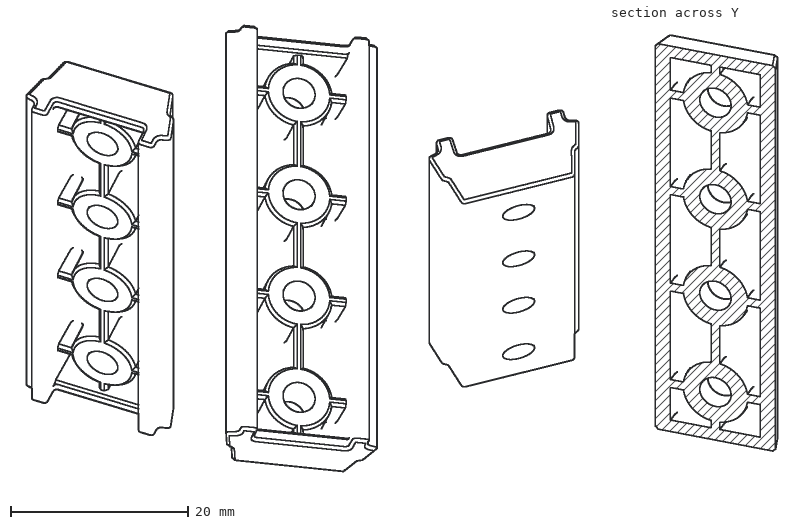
import cadquery as cq
import math

LENGTH = 50.8
WIDTH = 17.45
DEPTH = 8.4
END_CHAMFER = 0.35

FLANK_SLOPE = math.tan(math.radians(15))
BACK_HALF_WIDTH = 6.55
FLANK_OFFSET = 0.5
STEP_START = 3.1
STEP_END = 3.45
FLANK_END = 6.6
FOOT_SHOULDER = 6.95
BACK_RADIUS = 0.45
STEP_RADIUS = 0.38
FLANK_END_RADIUS = 0.4
SHOULDER_RADIUS = 0.6

FOOT_HALF_WIDTH = 7.4
CHANNEL_MOUTH_HALF_WIDTH = 5.55
CHANNEL_DRAFT = math.tan(math.radians(1.5))
CHANNEL_FLOOR = 5.95
FOOT_RADIUS = 0.4
CHANNEL_RADIUS = 0.45

END_WALL = 1.55
END_WALL_CHAMFER = 0.3

BOSS_LEVEL = 5.15
POCKET_FLOOR = 1.15
POCKET_FILLET = 0.3
BOSS_DIAMETER = 7.8
RIB_THICKNESS = 1.1
RIM_CHAMFER = 0.35
MITRE_GAP = 0.0005
HOLE_DIAMETER = 3.7
HOLE_COUNT = 4
HOLE_PITCH = 12.7

SELECT_GAP = 0.025

hole_heights = [HOLE_PITCH * (i - (HOLE_COUNT - 1) / 2) for i in range(HOLE_COUNT)]
recess_length = LENGTH - 2 * END_WALL


def flank_half_width(depth, offset=0.0):
    return BACK_HALF_WIDTH + offset + FLANK_SLOPE * depth


def channel_half_width(depth):
    return CHANNEL_MOUTH_HALF_WIDTH - CHANNEL_DRAFT * (DEPTH - depth)


def block(width, back, front, height):
    """Box centred on X and Z between two depths below the back face."""
    return cq.Workplane("XY").box(width, front - back, height).translate((0, -(back + front) / 2, 0))


def rod(diameter, back, front, height):
    """Round bar along Y at the given Z."""
    return (
        cq.Workplane("XZ", origin=(0, -back, height))
        .circle(diameter / 2)
        .extrude(front - back)
    )


def make_rail():
    corners = [
        (BACK_HALF_WIDTH, 0, BACK_RADIUS),
        (flank_half_width(STEP_START), STEP_START, STEP_RADIUS),
        (flank_half_width(STEP_END, FLANK_OFFSET), STEP_END, STEP_RADIUS),
        (flank_half_width(FLANK_END, FLANK_OFFSET), FLANK_END, FLANK_END_RADIUS),
        (FOOT_HALF_WIDTH, FOOT_SHOULDER, SHOULDER_RADIUS),
        (FOOT_HALF_WIDTH, DEPTH, FOOT_RADIUS),
        (channel_half_width(DEPTH), DEPTH, FOOT_RADIUS),
        (channel_half_width(CHANNEL_FLOOR), CHANNEL_FLOOR, CHANNEL_RADIUS),
    ]
    right = [(x, -depth) for x, depth, _ in corners]
    left = [(-x, y) for x, y in reversed(right)]
    rail = cq.Workplane("XY").polyline(right + left).close().extrude(LENGTH / 2, both=True)
    for x, depth, radius in corners:
        for side in (-1, 1):
            corner = cq.selectors.BoxSelector(
                (side * x - SELECT_GAP, -depth - SELECT_GAP, -LENGTH),
                (side * x + SELECT_GAP, -depth + SELECT_GAP, LENGTH),
            )
            rail = rail.edges("|Z").edges(corner).fillet(radius)
    return rail.faces("<Z or >Z").chamfer(END_CHAMFER)


def left_space(inner, back, front, length):
    """Bar on the -X side of X = -inner, bounded outside by the drafted channel wall."""
    corners = [
        (-inner, -back),
        (-channel_half_width(back), -back),
        (-channel_half_width(front), -front),
        (-inner, -front),
    ]
    return cq.Workplane("XY").polyline(corners).close().extrude(length / 2, both=True)


def make_left_cells():
    """Pocket spaces on the -X side up to the rim chamfers of the bosses and ribs."""
    depths = (POCKET_FLOOR, BOSS_LEVEL - RIM_CHAMFER)
    cells = left_space(RIB_THICKNESS / 2, *depths, recess_length)
    for height in hole_heights:
        cross_rib = block(WIDTH, *depths, RIB_THICKNESS).translate((0, 0, height))
        cells = cells.cut(cross_rib).cut(rod(BOSS_DIAMETER, *depths, height))
    return cells.solids().vals()


def make_pocket(cell):
    """One cell with a rounded floor and a mouth that chamfers the rims around it."""
    well = cq.Workplane(cell).faces(">Y").edges().fillet(POCKET_FILLET)
    outline = cq.Workplane("XZ").add(cell).faces("<Y").wires().toPending()
    mouth = outline.offset2D(RIM_CHAMFER, "intersection").extrude(RIM_CHAMFER, combine=False)
    mouth = mouth.faces(">Y").chamfer(RIM_CHAMFER - MITRE_GAP)
    return well.union(mouth.intersect(left_space(0, 0, DEPTH, recess_length)))


def make_left_recess():
    """Space on the -X side above the bosses and ribs, flared at the rims of the end walls."""
    recess = left_space(0, BOSS_LEVEL, DEPTH, recess_length)
    flare_length = recess_length + 2 * END_WALL_CHAMFER
    flare_back = CHANNEL_FLOOR - END_WALL_CHAMFER
    flare = left_space(0, flare_back, CHANNEL_FLOOR + CHANNEL_RADIUS, flare_length)
    flare = flare.faces(">Y").edges("|X").chamfer(END_WALL_CHAMFER)
    return recess.union(flare)


result = make_rail()
left_spaces = [make_left_recess()] + [make_pocket(cell) for cell in make_left_cells()]
for space in left_spaces:
    result = result.cut(space).cut(space.mirror("YZ"))
for height in hole_heights:
    result = result.cut(rod(HOLE_DIAMETER, 0, DEPTH, height))